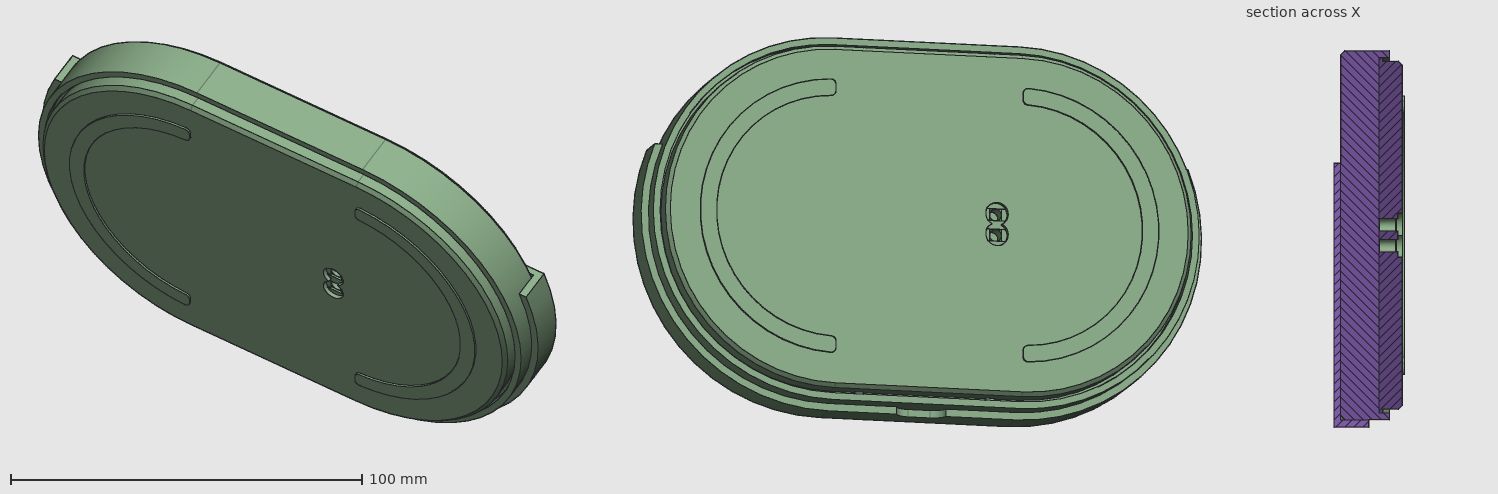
import cadquery as cq

OVERALL_LENGTH = 164.2
STRAIGHT_LENGTH = 54.9
END_CENTER_X = STRAIGHT_LENGTH / 2
HOUSING_WALL = 2.0
COVER_WALL = 2.1
COVER_RADIUS = (OVERALL_LENGTH - STRAIGHT_LENGTH) / 2
HOUSING_RADIUS = COVER_RADIUS - COVER_WALL
SEAT_RADIUS = HOUSING_RADIUS - HOUSING_WALL
LID_GAP = 1.0
LID_RADIUS = SEAT_RADIUS - LID_GAP

COVER_FLOOR = 2.0
COVER_DEPTH = 10.0
HOUSING_FRONT = 16.0
LID_FRONT = 19.5
FEET_FRONT = 20.2
SEAT_DEPTH = 3.0
LID_BACK = HOUSING_FRONT - SEAT_DEPTH

HOUSING_CHAMFER = 1.1
LID_CHAMFER = 1.1

COVER_TOP_Z = 20.5
NOTCH_WIDTH = 14.8
NOTCH_DIAMETER = 8.4
NOTCH_AXIS_DEPTH = 11.2

TAB_WIDTH = 2.5
TAB_X = 19.2
TAB_THICKNESS = 1.0

FOOT_OUTER_RADIUS = 39.7
FOOT_WIDTH = 4.8
FOOT_INNER_RADIUS = FOOT_OUTER_RADIUS - FOOT_WIDTH
FOOT_CORNER_RADIUS = 1.5
FOOT_RECESS_DEPTH = 1.0

SCREW_X = 19.9
SCREW_PITCH = 5.9
SCREW_HOLE_DIAMETER = 3.5
COUNTERBORE_DIAMETER = 6.5
COUNTERBORE_DEPTH = 1.3
STEP_DEPTH = 0.3


def plane_at(depth):
    """XZ workplane at the given depth, with its normal toward -Y."""
    return cq.Workplane("XZ", origin=(0, -depth, 0))


def racetrack(radius, back, front):
    """Racetrack-shaped plate between two depths."""
    outline = plane_at(back).slot2D(STRAIGHT_LENGTH + 2 * radius, 2 * radius)
    return outline.extrude(front - back)


def foot_shape(side, back, front):
    """Half-ring with rounded corners around the left (-1) or right (+1) end centre."""
    end_x = side * END_CENTER_X
    outer_tip = (end_x + side * FOOT_OUTER_RADIUS, 0)
    inner_tip = (end_x + side * FOOT_INNER_RADIUS, 0)
    outline = (
        plane_at(back)
        .moveTo(end_x, FOOT_OUTER_RADIUS)
        .threePointArc(outer_tip, (end_x, -FOOT_OUTER_RADIUS))
        .lineTo(end_x, -FOOT_INNER_RADIUS)
        .threePointArc(inner_tip, (end_x, FOOT_INNER_RADIUS))
        .close()
    )
    return outline.extrude(front - back).edges("|Y").fillet(FOOT_CORNER_RADIUS)


def make_cover():
    """Tray around the back of the housing, cut off flat at the top, with a cable notch."""
    tray = racetrack(COVER_RADIUS, 0, COVER_DEPTH)
    tray = tray.cut(racetrack(HOUSING_RADIUS, COVER_FLOOR, COVER_DEPTH))
    lower_part = (
        cq.Workplane("XY", origin=(0, 0, COVER_TOP_Z))
        .rect(2 * OVERALL_LENGTH, 2 * OVERALL_LENGTH)
        .extrude(-OVERALL_LENGTH)
    )
    notch = (
        cq.Workplane("XY", origin=(0, -NOTCH_AXIS_DEPTH, -HOUSING_RADIUS))
        .slot2D(NOTCH_WIDTH, NOTCH_DIAMETER)
        .extrude(-2 * COVER_WALL)
    )
    return tray.intersect(lower_part).cut(notch)


def make_housing():
    """Block with a chamfered back edge and a shallow seat for the lid."""
    block = racetrack(HOUSING_RADIUS, COVER_FLOOR, HOUSING_FRONT).faces(">Y").chamfer(HOUSING_CHAMFER)
    return block.cut(racetrack(SEAT_RADIUS, LID_BACK, HOUSING_FRONT))


def make_screw_hole(z):
    """Counterbore, flat-sided slot, square and round hole, each one step deeper than the last."""
    slot_floor = LID_FRONT - COUNTERBORE_DEPTH - STEP_DEPTH
    square_floor = slot_floor - STEP_DEPTH
    counterbore = (
        plane_at(LID_FRONT - COUNTERBORE_DEPTH)
        .center(SCREW_X, z)
        .circle(COUNTERBORE_DIAMETER / 2)
        .extrude(COUNTERBORE_DEPTH)
    )
    slot = (
        plane_at(slot_floor)
        .center(SCREW_X, z)
        .circle(COUNTERBORE_DIAMETER / 2)
        .extrude(STEP_DEPTH)
        .intersect(
            plane_at(slot_floor)
            .center(SCREW_X, z)
            .rect(COUNTERBORE_DIAMETER, SCREW_HOLE_DIAMETER)
            .extrude(STEP_DEPTH)
        )
    )
    square = (
        plane_at(square_floor)
        .center(SCREW_X, z)
        .rect(SCREW_HOLE_DIAMETER, SCREW_HOLE_DIAMETER)
        .extrude(STEP_DEPTH)
    )
    hole = (
        plane_at(LID_BACK)
        .center(SCREW_X, z)
        .circle(SCREW_HOLE_DIAMETER / 2)
        .extrude(square_floor - LID_BACK)
    )
    return counterbore.union(slot).union(square).union(hole)


def make_lid():
    """Panel standing in the seat, with tabs across the gap, foot recesses and screw holes."""
    lid = racetrack(LID_RADIUS, LID_BACK, LID_FRONT).faces("<Y").chamfer(LID_CHAMFER)
    tabs = (
        plane_at(LID_BACK)
        .pushPoints([(-TAB_X, 0), (TAB_X, 0)])
        .rect(TAB_WIDTH, 2 * SEAT_RADIUS)
        .extrude(TAB_THICKNESS)
    )
    lid = lid.union(tabs)
    for side in (-1, 1):
        lid = lid.cut(foot_shape(side, LID_FRONT - FOOT_RECESS_DEPTH, LID_FRONT))
    for z in (-SCREW_PITCH / 2, SCREW_PITCH / 2):
        lid = lid.cut(make_screw_hole(z))
    return lid


def make_foot(side):
    """Foot filling its recess and standing proud of the lid."""
    return foot_shape(side, LID_FRONT - FOOT_RECESS_DEPTH, FEET_FRONT)


cover = make_cover()
housing = make_housing()
lid = make_lid()
feet = [make_foot(side) for side in (-1, 1)]

result = cq.Compound.makeCompound([cover.val(), housing.val(), lid.val(), *[foot.val() for foot in feet]])